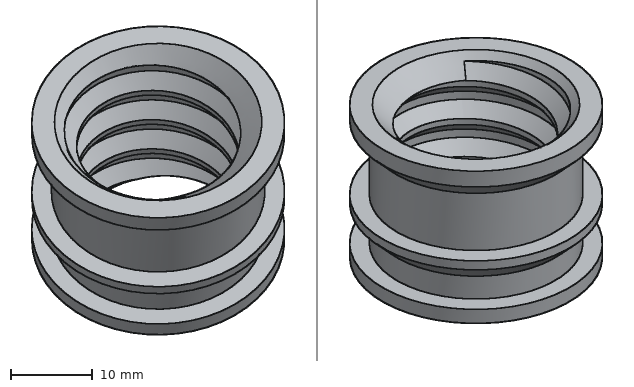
import cadquery as cq
import math

height = 22.0
rim_radius = 15.5

body_radius = 26.2 / 2
rim_step = rim_radius - body_radius
base_rim_top = 2.05
middle_rim_top = 9.05
middle_rim_thickness = 1.3
top_rim_thickness = 2.3
middle_rim_bottom = middle_rim_top - middle_rim_thickness
top_rim_bottom = height - top_rim_thickness

bore_radius = 20.0 / 2
mouth_radius = 12.7
mouth_depth = mouth_radius - bore_radius

pitch = 5.5
root_radius = 11.72
root_width = 1.18
runout_angle = -5.0
runout_height = height - (mouth_radius - root_radius) + root_width / 2
runout_gap = 1.5
cutter_overlap = 0.3


def revolved_body():
    """Spool-shaped sleeve with three rims, a plain bore and a conical mouth."""
    profile = [
        (bore_radius, 0),
        (rim_radius, 0),
        (rim_radius, base_rim_top),
        (body_radius, base_rim_top),
        (body_radius, middle_rim_bottom - rim_step),
        (rim_radius, middle_rim_bottom),
        (rim_radius, middle_rim_top),
        (body_radius, middle_rim_top),
        (body_radius, top_rim_bottom - rim_step),
        (rim_radius, top_rim_bottom),
        (rim_radius, height),
        (mouth_radius, height),
        (bore_radius, height - mouth_depth),
    ]
    return cq.Workplane("XZ").polyline(profile).close().revolve(360, (0, 0), (0, 1))


def thread_cutter(first_turn, last_turn):
    """Helical trapezoid between two turn counts; turn 0 is the run-out, lower turns are negative."""
    inner_radius = bore_radius - cutter_overlap
    half_root = root_width / 2
    half_mouth = half_root + root_radius - inner_radius
    profile = [
        (inner_radius, -half_mouth),
        (root_radius, -half_root),
        (root_radius, half_root),
        (inner_radius, half_mouth),
    ]
    helix = cq.Wire.makeHelix(pitch, (last_turn - first_turn) * pitch, bore_radius)
    cutter = cq.Workplane("XZ").polyline(profile).close().sweep(cq.Workplane(obj=helix), isFrenet=True)
    start_angle = runout_angle + 360 * first_turn
    start_height = runout_height + first_turn * pitch
    return cutter.rotate((0, 0, 0), (0, 0, 1), start_angle).translate((0, 0, start_height))


turns_below = math.ceil(runout_height / pitch) + 1
lower_thread = thread_cutter(-turns_below, -1)
last_thread_turn = thread_cutter(-1, -runout_gap / 360)

result = revolved_body().cut(lower_thread).cut(last_thread_turn)